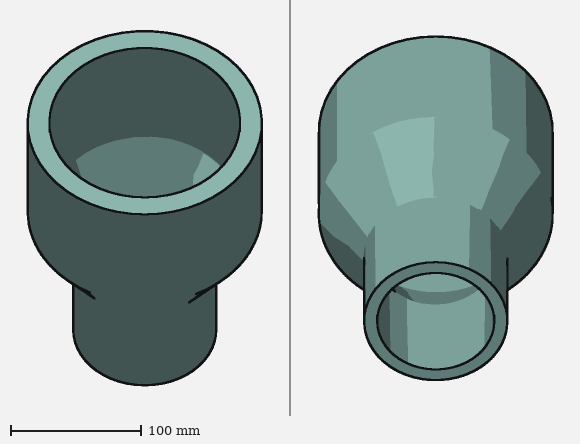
import cadquery as cq

total_length = 255.0
large_length = 109.6
small_length = 87.5

large_outer_diameter = 180.0
large_bore_diameter = 146.5
small_outer_diameter = 110.2
small_bore_diameter = 90.0

blend_radius = 2.0

cone_bottom = small_length
cone_top = total_length - large_length


def stepped_cone(small_diameter, large_diameter):
    """Solid of revolution about Z: small cylinder, cone, large cylinder, joints rounded."""
    small_radius = small_diameter / 2
    large_radius = large_diameter / 2
    solid = (
        cq.Workplane("XZ")
        .lineTo(small_radius, 0)
        .lineTo(small_radius, cone_bottom)
        .lineTo(large_radius, cone_top)
        .lineTo(large_radius, total_length)
        .lineTo(0, total_length)
        .close()
        .revolve(360, (0, 0), (0, 1))
    )
    cone_edges = solid.edges("%CIRCLE").edges("not(<Z or >Z)")
    return cone_edges.fillet(blend_radius)


body = stepped_cone(small_outer_diameter, large_outer_diameter)
bore = stepped_cone(small_bore_diameter, large_bore_diameter)
result = body.cut(bore)